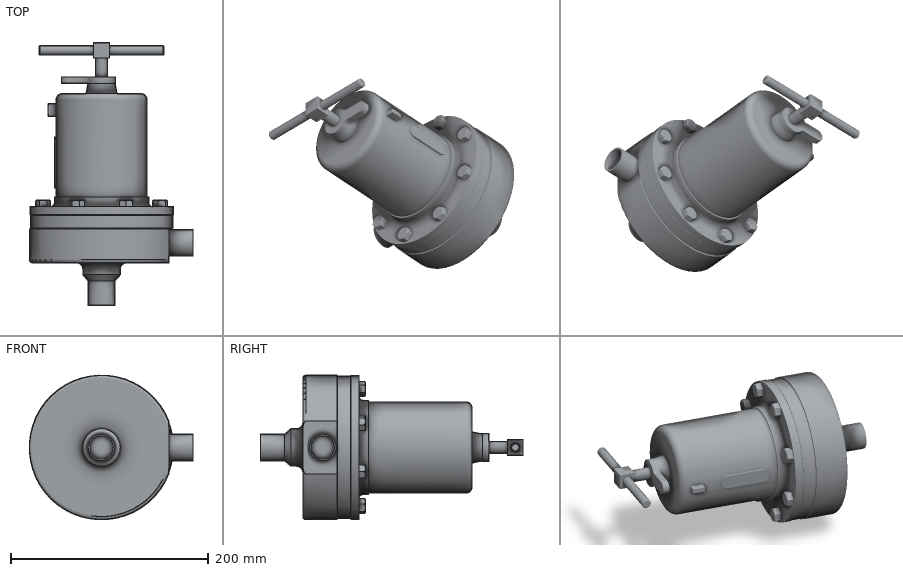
import cadquery as cq
import math


body_radius = 73.28
body_length = 34.5
body_edge_radius = 3.2
body_flat_x = 68.2
gasket_thickness = 0.8
gasket_radius = 71.6
spacer_radius = 72.3
spacer_end = 48.2
flange_radius = 72.9
flange_start = spacer_end + gasket_thickness
flange_end = 57.1

collar_radius = 47.9
collar_end = 66.6
collar_fillet = 3.7
housing_radius = 46.2
housing_end = 171.7
housing_edge_radius = 6.35
neck_base_radius = 15.8
neck_top_radius = 13.8
neck_end = 182.0

pipe_radius = 13.5
pipe_bore_radius = 11.9
pipe_length = 21.4
inlet_end = -43.05
inlet_hub_radius = 19.05
inlet_fillet = 6.35
inlet_hub_length = 12.0
inlet_cone_end = 18.4
outlet_end = 92.85
outlet_y = 20.25
outlet_root_x = body_flat_x / 2

bolt_count = 8
bolt_circle_radius = 64.2
bolt_first_angle = 22.5
bolt_head_height = 6.5
bolt_head_corner_radius = 7.62
bolt_head_corner_turn = 22.5
bolt_head_bevel = 1.1

nut_radius = 14.25
nut_end = 188.7
lever_half_width = 6.5
lever_tip_x = -40.6
lever_root_fillet = 6.1

screw_radius = 6.2
block_width = 16.4
block_size = 15.8
block_end = 223.41
handle_radius = 4.7
handle_length = 127.0
handle_bevel = 1.0

tab_length_y = 13.0
tab_center_y = 155.0
tab_thickness = 4.4
tab_reach = 54.6
tab_end_bulge = 0.6
plate_length = 51.6
plate_width = 13.8
plate_center_y = 101.9
plate_reach = 47.6


def disc(radius, y_start, y_end):
    """Cylinder on the main axis between two Y stations."""
    return cq.Workplane("XZ", origin=(0, y_start, 0)).circle(radius).extrude(y_start - y_end)


def make_body():
    body = disc(body_radius, 0, body_length).faces("<Y").edges().fillet(body_edge_radius)
    diameter = 2 * body_radius
    beyond_flat = cq.Workplane("YZ", origin=(body_flat_x, 0, 0)).rect(diameter, diameter).extrude(diameter)
    return body.cut(beyond_flat)


def make_flange_stack():
    stack = disc(gasket_radius, body_length, flange_start)
    stack = stack.union(disc(spacer_radius, body_length + gasket_thickness, spacer_end))
    return stack.union(disc(flange_radius, flange_start, flange_end))


def make_housing():
    """Collar with a concave foot, rounded housing and the conical neck on top of it."""
    foot_end = flange_end + collar_fillet
    shoulder_start = housing_end - housing_edge_radius
    profile = (
        cq.Workplane("XY")
        .moveTo(0, flange_end)
        .lineTo(collar_radius + collar_fillet, flange_end)
        .radiusArc((collar_radius, foot_end), collar_fillet)
        .lineTo(collar_radius, collar_end)
        .lineTo(housing_radius, collar_end)
        .lineTo(housing_radius, shoulder_start)
        .radiusArc((housing_radius - housing_edge_radius, housing_end), -housing_edge_radius)
        .lineTo(neck_base_radius, housing_end)
        .lineTo(neck_top_radius, neck_end)
        .lineTo(0, neck_end)
        .close()
    )
    return profile.revolve(360, (0, 0, 0), (0, 1, 0))


def make_inlet():
    """Hub with a concave root, tapering down to the inlet pipe on the front face."""
    profile = (
        cq.Workplane("XY")
        .moveTo(0, 0)
        .lineTo(inlet_hub_radius + inlet_fillet, 0)
        .radiusArc((inlet_hub_radius, -inlet_fillet), -inlet_fillet)
        .lineTo(inlet_hub_radius, -inlet_hub_length)
        .lineTo(pipe_radius, -inlet_cone_end)
        .lineTo(pipe_radius, inlet_end)
        .lineTo(0, inlet_end)
        .close()
    )
    return profile.revolve(360, (0, 0, 0), (0, 1, 0))


def make_inlet_bore():
    return disc(pipe_bore_radius, inlet_end, inlet_end + pipe_length)


def outlet_cylinder(radius, length):
    """Cylinder on the outlet axis, reaching inward from the outlet end face."""
    start = outlet_end - length
    return cq.Workplane("YZ", origin=(start, outlet_y, 0)).circle(radius).extrude(length)


def make_bolt_head(angle):
    radians = math.radians(angle)
    center = (
        bolt_circle_radius * math.cos(radians),
        flange_end,
        bolt_circle_radius * math.sin(radians),
    )
    hexagon = cq.Workplane("XZ").polygon(6, 2 * bolt_head_corner_radius).extrude(-bolt_head_height)
    cone_blank = cq.Workplane("XZ").circle(bolt_head_corner_radius + bolt_head_bevel)
    cone_blank = cone_blank.extrude(-bolt_head_height)
    head = hexagon.intersect(cone_blank.faces(">Y").edges().chamfer(2 * bolt_head_bevel))
    head = head.rotate((0, 0, 0), (0, -1, 0), angle + bolt_head_corner_turn)
    return head.translate(center)


def make_lock_nut():
    """Round nut with a round-ended lever blended into it by two concave arcs."""
    fillet_z = lever_half_width + lever_root_fillet
    fillet_x = -math.sqrt((nut_radius + lever_root_fillet) ** 2 - fillet_z**2)
    contact_ratio = nut_radius / (nut_radius + lever_root_fillet)
    contact_x = fillet_x * contact_ratio
    contact_z = fillet_z * contact_ratio
    tip_center_x = lever_tip_x + lever_half_width
    outline = (
        cq.Workplane("XZ", origin=(0, neck_end, 0))
        .moveTo(contact_x, contact_z)
        .threePointArc((nut_radius, 0), (contact_x, -contact_z))
        .radiusArc((fillet_x, -lever_half_width), -lever_root_fillet)
        .lineTo(tip_center_x, -lever_half_width)
        .threePointArc((lever_tip_x, 0), (tip_center_x, lever_half_width))
        .lineTo(fillet_x, lever_half_width)
        .radiusArc((contact_x, contact_z), -lever_root_fillet)
        .close()
    )
    return outline.extrude(neck_end - nut_end)


def make_screw_and_handle():
    block_center_y = block_end - block_size / 2
    screw = disc(screw_radius, nut_end, block_center_y)
    block = cq.Workplane("XY").box(block_width, block_size, block_size)
    bar = cq.Workplane("YZ").circle(handle_radius).extrude(handle_length / 2, both=True)
    bar = bar.faces("<X or >X").edges().chamfer(handle_bevel)
    return screw.union(block.union(bar).translate((0, block_center_y, 0)))


def make_tab():
    """Flat tab standing out of the housing, with a slightly bowed outer end."""
    half_length = tab_length_y / 2
    corner_x = -(tab_reach - tab_end_bulge)
    outline = (
        cq.Workplane("XY")
        .moveTo(0, -half_length)
        .lineTo(corner_x, -half_length)
        .threePointArc((-tab_reach, 0), (corner_x, half_length))
        .lineTo(0, half_length)
        .close()
    )
    return outline.extrude(tab_thickness / 2, both=True).translate((0, tab_center_y, 0))


def make_plate():
    """Round-ended plate with a flat outer face, standing just proud of the housing."""
    plane = cq.Workplane("YZ", origin=(-plate_reach, plate_center_y, 0))
    return plane.slot2D(plate_length, plate_width).extrude(plate_reach)


result = make_body().union(make_flange_stack()).union(make_housing())
result = result.union(make_inlet()).cut(make_inlet_bore())
result = result.union(outlet_cylinder(pipe_radius, outlet_end - outlet_root_x))
result = result.cut(outlet_cylinder(pipe_bore_radius, pipe_length))
for bolt in range(bolt_count):
    result = result.union(make_bolt_head(bolt_first_angle + bolt * 360 / bolt_count))
for feature in (make_lock_nut(), make_screw_and_handle(), make_tab(), make_plate()):
    result = result.union(feature)